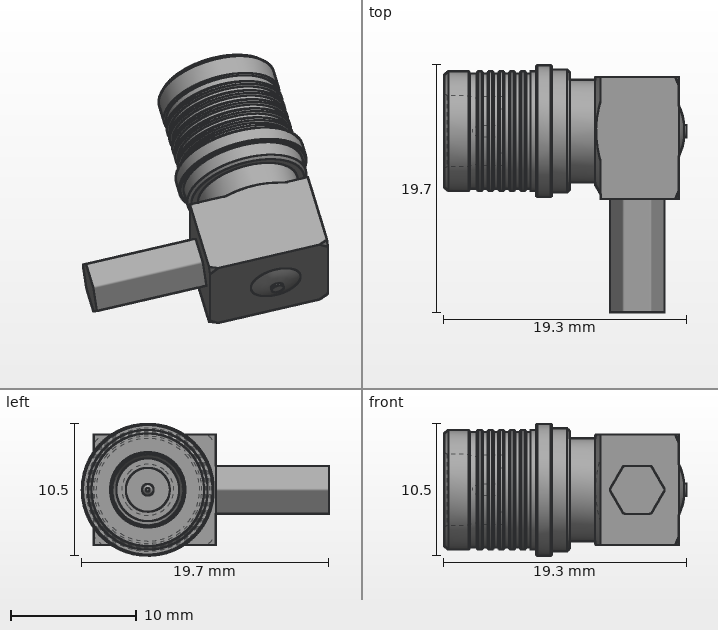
import cadquery as cq
import math


sleeve_d = 9.53
groove_d = 9.2
flange_d = 10.5
collar_d = 9.8
collar_end_d = 9.3
mouth_d = 8.95
mouth_chamfer = 0.33
band_end = 1.93
band_ramp = 0.12
rib_count = 5
rib_pitch = 0.857
first_rib = 2.57
rib_foot = 0.53
rib_crest = 0.24
shoulder_start = 6.85
flange_start = 7.3
flange_end = 8.57
flange_chamfer = 0.1
collar_chamfer_start = 9.75
collar_end = 10.0
neck_d = 8.2

entry_d = 6.0
socket_d = 5.65
throat_d = 5.0
entry_depth = 0.24
lead_in_d = 5.6
lead_in_start = 1.61
taper_start = 1.9
taper_end = 3.07
throat_end = 3.15
undercut_d = 5.5
socket_depth = 4.72
insulator_d = 3.5
insulator_end = 4.42
contact_d = 0.92
contact_tip_d = 0.3
contact_tip = 2.25
contact_taper = 0.4

block_start = 12.0
block_face = 12.44
block_end = 18.65
block_height = 8.8
block_back = 4.3
block_front = -5.4
ring_d = 8.55
ring_slope = math.radians(60)
corner_x = 0.3
corner_side = 0.69

dome_d = 4.09
dome_end = 19.06
dome_end_d = 1.38
dome_bulge = 0.05
stub_d = 1.0
part_length = 19.28

stem_x = 15.35
stem_flats = 3.81
stem_edge_radius = 0.2
stem_end = -14.4


def revolve_profile(points):
    """Turn a closed profile of (x, radius) points about the X axis."""
    return cq.Workplane("XY").polyline(points).close().revolve(360, (0, 0, 0), (1, 0, 0))


def cylinder(start, end, diameter):
    return cq.Workplane("YZ", origin=(start, 0, 0)).circle(diameter / 2).extrude(end - start)


def make_sleeve():
    points = [
        (0, 0),
        (0, mouth_d / 2),
        (mouth_chamfer, sleeve_d / 2),
        (band_end, sleeve_d / 2),
        (band_end + band_ramp, groove_d / 2),
    ]
    for i in range(rib_count):
        start = first_rib + i * rib_pitch
        crest = start + (rib_foot - rib_crest) / 2
        points += [
            (start, groove_d / 2),
            (crest, sleeve_d / 2),
            (crest + rib_crest, sleeve_d / 2),
            (start + rib_foot, groove_d / 2),
        ]
    points += [
        (shoulder_start, groove_d / 2),
        (shoulder_start, sleeve_d / 2),
        (flange_start, sleeve_d / 2),
        (flange_start, flange_d / 2 - flange_chamfer),
        (flange_start + flange_chamfer, flange_d / 2),
        (flange_end - flange_chamfer, flange_d / 2),
        (flange_end, flange_d / 2 - flange_chamfer),
        (flange_end, collar_d / 2),
        (collar_chamfer_start, collar_d / 2),
        (collar_end, collar_end_d / 2),
        (collar_end, neck_d / 2),
        (block_face, neck_d / 2),
        (block_face, 0),
    ]
    return revolve_profile(points)


def make_socket():
    """Cavity that tapers to a narrow throat and widens again behind it."""
    return revolve_profile([
        (0, 0),
        (0, entry_d / 2),
        (entry_depth, socket_d / 2),
        (lead_in_start, socket_d / 2),
        (taper_start, lead_in_d / 2),
        (taper_end, throat_d / 2),
        (throat_end, throat_d / 2),
        (throat_end, undercut_d / 2),
        (socket_depth, undercut_d / 2),
        (socket_depth, 0),
    ])


def make_contact():
    """Insulator disc carrying the pointed centre pin."""
    pin = revolve_profile([
        (contact_tip, 0),
        (contact_tip, contact_tip_d / 2),
        (contact_tip + contact_taper, contact_d / 2),
        (socket_depth, contact_d / 2),
        (socket_depth, 0),
    ])
    return pin.union(cylinder(insulator_end, socket_depth, insulator_d))


def corner_cutter(y, z):
    """Tetrahedron that bevels one far corner of the block."""
    to_middle_y = -math.copysign(corner_side, y)
    to_middle_z = -math.copysign(corner_side, z)
    corner = cq.Vector(block_end, y, z)
    along_x = cq.Vector(block_end - corner_x, y, z)
    along_y = cq.Vector(block_end, y + to_middle_y, z)
    along_z = cq.Vector(block_end, y, z + to_middle_z)
    triangles = [
        (corner, along_x, along_y),
        (corner, along_y, along_z),
        (corner, along_z, along_x),
        (along_x, along_y, along_z),
    ]
    faces = [cq.Face.makeFromWires(cq.Wire.makePolygon(t, close=True)) for t in triangles]
    return cq.Workplane(cq.Solid.makeSolid(cq.Shell.makeShell(faces)))


def make_block():
    width = block_back - block_front
    middle_y = (block_back + block_front) / 2

    def box(start, end):
        plane = cq.Workplane("YZ", origin=(start, middle_y, 0))
        return plane.rect(width, block_height).extrude(end - start)

    ring_depth = block_face - block_start
    ring = revolve_profile([
        (block_start, 0),
        (block_start, ring_d / 2),
        (block_face, ring_d / 2 + ring_depth * math.tan(ring_slope)),
        (block_face, 0),
    ]).intersect(box(block_start, block_face))
    block = box(block_face, block_end).union(ring)
    for y in (block_back, block_front):
        for z in (-block_height / 2, block_height / 2):
            block = block.cut(corner_cutter(y, z))
    return block


def make_cap():
    middle = ((block_end + dome_end) / 2 + dome_bulge, (dome_d + dome_end_d) / 4)
    dome = (
        cq.Workplane("XY")
        .moveTo(block_end, 0)
        .lineTo(block_end, dome_d / 2)
        .threePointArc(middle, (dome_end, dome_end_d / 2))
        .lineTo(dome_end, 0)
        .close()
        .revolve(360, (0, 0, 0), (1, 0, 0))
    )
    return dome.union(cylinder(block_end, part_length, stub_d))


def make_stem():
    across_corners = stem_flats / math.cos(math.pi / 6)
    return (
        cq.Workplane("XZ", origin=(stem_x, block_front, 0))
        .polygon(6, across_corners)
        .extrude(block_front - stem_end)
        .edges("|Y")
        .fillet(stem_edge_radius)
    )


result = (
    make_sleeve()
    .union(make_block())
    .union(make_cap())
    .union(make_stem())
    .cut(make_socket())
    .union(make_contact())
)